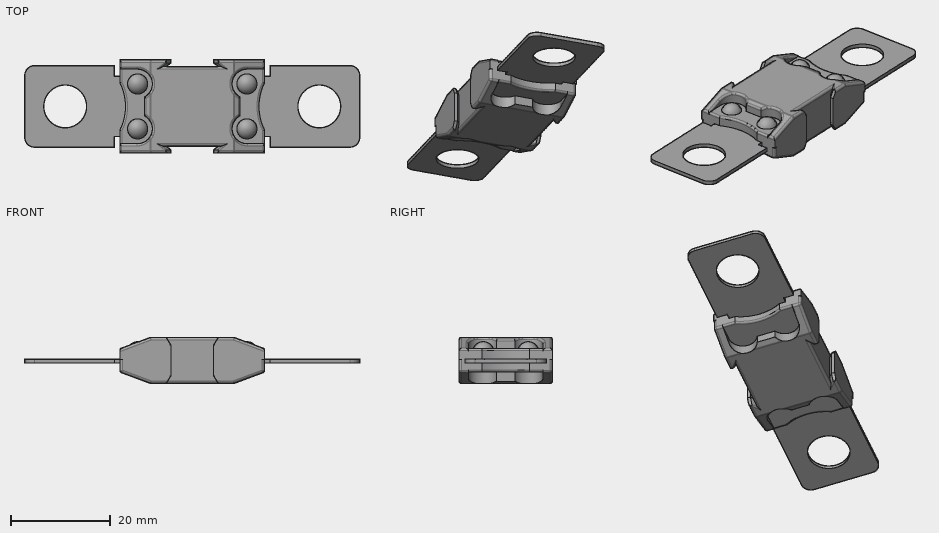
import cadquery as cq
import math

STRIP_LENGTH = 67.3
STRIP_WIDTH = 16.4
STRIP_BOTTOM = -0.55
STRIP_THICKNESS = 0.8
STRIP_CORNER_RADIUS = 2.0
HOLE_DIAMETER = 8.55
HOLE_X = 25.5
NECK_HALF_LENGTH = 15.6
NECK_WIDTH = 12.1

BODY_LENGTH = 29.1
BODY_WIDTH = 18.8
BODY_HEIGHT = 9.3
FLAT_HALF_LENGTH = 8.35
END_HALF_HEIGHT = 2.35
EDGE_ROUND = 0.55
PARTING_Z = 0.15

WAIST_WIDTH = 16.0
EAR_TIP_X = 4.3
EAR_TIP_THICKNESS = 0.7
EAR_ANGLE = 40.0
EAR_BEVEL = 0.95
EAR_BEVEL_HEIGHT = 1.55
EAR_ROUND = 0.35

POCKET_X = 11.0
POCKET_Y = 4.5
POCKET_RADIUS = 2.95
TONGUE_X = 9.55
RIM_ROUND = 0.5
RIVET_RADIUS = 2.0
RIVET_HEIGHT = 1.4

SCOOP_HALF_WIDTH = 4.8
SCOOP_DEPTH = 1.15
SCOOP_EDGE_ROUND = 0.4

HALF_LENGTH = BODY_LENGTH / 2
HALF_WIDTH = BODY_WIDTH / 2
HALF_HEIGHT = BODY_HEIGHT / 2
POCKET_EDGE_Y = POCKET_Y + POCKET_RADIUS
CLEARANCE = 3.35
TOLERANCE = 0.01


def both_ends(shape):
    """Join a shape with its mirror image across the YZ plane."""
    return shape.union(shape.mirror("YZ"))


def strip_plate(length, width):
    """Rectangular plate at the level and thickness of the strip."""
    plane = cq.Workplane("XY").workplane(offset=STRIP_BOTTOM)
    return plane.rect(length, width).extrude(STRIP_THICKNESS)


def make_strip():
    """Strip with rounded corners, a narrower neck inside the body and a bolt hole at each end."""
    strip = strip_plate(STRIP_LENGTH, STRIP_WIDTH).edges("|Z").fillet(STRIP_CORNER_RADIUS)
    neck_zone = strip_plate(2 * NECK_HALF_LENGTH, STRIP_WIDTH)
    side_notches = neck_zone.cut(strip_plate(STRIP_LENGTH, NECK_WIDTH))
    hole_plane = cq.Workplane("XY").workplane(offset=STRIP_BOTTOM)
    holes = hole_plane.pushPoints([(-HOLE_X, 0), (HOLE_X, 0)]).circle(HOLE_DIAMETER / 2)
    return strip.cut(side_notches).cut(holes.extrude(STRIP_THICKNESS))


def make_block():
    """Eight-sided block with its four creases rounded."""
    block = (
        cq.Workplane("XZ")
        .moveTo(-HALF_LENGTH, -END_HALF_HEIGHT)
        .lineTo(-FLAT_HALF_LENGTH, -HALF_HEIGHT)
        .lineTo(FLAT_HALF_LENGTH, -HALF_HEIGHT)
        .lineTo(HALF_LENGTH, -END_HALF_HEIGHT)
        .lineTo(HALF_LENGTH, END_HALF_HEIGHT)
        .lineTo(FLAT_HALF_LENGTH, HALF_HEIGHT)
        .lineTo(-FLAT_HALF_LENGTH, HALF_HEIGHT)
        .lineTo(-HALF_LENGTH, END_HALF_HEIGHT)
        .close()
        .extrude(HALF_WIDTH, both=True)
    )
    return block.edges("(>Z or <Z) and |Y").fillet(EDGE_ROUND)


def make_shell(block):
    """Block with rounded outer edges; above the parting plane the upright corners stay sharp."""
    outer_faces = block.faces("<X or >X or <Y or >Y")
    upper_space = cq.Workplane("XY").workplane(offset=PARTING_Z)
    upper_space = upper_space.rect(BODY_LENGTH, BODY_WIDTH).extrude(BODY_HEIGHT)
    upper = outer_faces.edges("not |Z").fillet(EDGE_ROUND).intersect(upper_space)
    lower = outer_faces.edges().fillet(EDGE_ROUND).cut(upper_space)
    return upper.union(lower)


def end_block(inner_x, width):
    """Full-height block from inner_x to the +X end face."""
    length = HALF_LENGTH - inner_x
    return cq.Workplane("XY").box(length, width, BODY_HEIGHT).translate((inner_x + length / 2, 0, 0))


def make_pocket_space():
    """Twin round pockets at both ends, joined and open to the end face, through the full height."""
    centres = [(POCKET_X, -POCKET_Y), (POCKET_X, POCKET_Y)]
    space = cq.Workplane("XY").pushPoints(centres).circle(POCKET_RADIUS).extrude(HALF_HEIGHT, both=True)
    space = space.union(end_block(POCKET_X, 2 * POCKET_EDGE_Y))
    space = space.union(end_block(TONGUE_X, 2 * POCKET_Y))
    return both_ends(space.clean())


def is_pocket_wall(face):
    """True for an upright face inside the pocket outline."""
    return abs(face.normalAt().z) < TOLERANCE and abs(face.Center().y) < POCKET_EDGE_Y + TOLERANCE


def round_upper_rims(body):
    """Round the top edges of the pocket walls; the bottom edges stay sharp."""
    walls = body.faces().filter(is_pocket_wall)
    rims = walls.edges("not |Z").filter(lambda edge: edge.Center().z > 0)
    return rims.fillet(RIM_ROUND)


def make_pocket_floor(pocket_space):
    """Slab that fills the pockets up to their floors, rounded along the scooped ends."""
    slab = cq.Workplane("XY").box(BODY_LENGTH, BODY_WIDTH, 2 * END_HALF_HEIGHT)
    radius = (SCOOP_HALF_WIDTH**2 + SCOOP_DEPTH**2) / (2 * SCOOP_DEPTH)
    scoop_x = HALF_LENGTH - SCOOP_DEPTH + radius
    scoops = cq.Workplane("XY").pushPoints([(-scoop_x, 0), (scoop_x, 0)]).circle(radius)
    slab = slab.cut(scoops.extrude(HALF_HEIGHT, both=True))
    slab = slab.faces("<Z or >Z").edges().fillet(SCOOP_EDGE_ROUND)
    return slab.intersect(pocket_space)


def make_ear_block():
    """Oversized block whose -X side has the shape of the +X, +Y ear, bevelled above and below."""
    inner_y = WAIST_WIDTH / 2 - CLEARANCE
    tip_y = HALF_WIDTH - EAR_TIP_THICKNESS
    inner_x = EAR_TIP_X + (tip_y - inner_y) / math.tan(math.radians(EAR_ANGLE))

    def outline(plane, bevel):
        return plane.polyline([
            (inner_x + bevel, inner_y),
            (EAR_TIP_X + bevel, tip_y),
            (EAR_TIP_X + bevel, HALF_WIDTH + CLEARANCE),
            (BODY_LENGTH, HALF_WIDTH + CLEARANCE),
            (BODY_LENGTH, inner_y),
        ]).close()

    straight_height = HALF_HEIGHT - EAR_BEVEL_HEIGHT
    block = outline(cq.Workplane("XY"), 0).extrude(straight_height, both=True)
    tapered = outline(cq.Workplane("XY").workplane(offset=straight_height), 0)
    tapered = outline(tapered.workplane(offset=EAR_BEVEL_HEIGHT), EAR_BEVEL).loft(ruled=True)
    block = block.union(tapered).union(tapered.mirror("XY"))
    return block.faces("<Z or >Z").edges().fillet(EAR_ROUND)


def make_ear_gap():
    """Space between the ears on the +Y side, bounded by the rounded edges of the waist."""
    space = cq.Workplane("XY").box(2 * FLAT_HALF_LENGTH, BODY_WIDTH, BODY_HEIGHT)
    waist = cq.Workplane("XY").box(BODY_LENGTH, WAIST_WIDTH, BODY_HEIGHT)
    waist = waist.edges("|X").fillet(EDGE_ROUND)
    positive_y_half = cq.Workplane("XY").box(BODY_LENGTH, BODY_WIDTH, BODY_HEIGHT)
    positive_y_half = positive_y_half.translate((0, HALF_WIDTH, 0))
    return space.intersect(positive_y_half).cut(waist).cut(both_ends(make_ear_block()))


def make_rivets():
    """Four domed rivet heads on the upper pocket floors, made as partly buried balls."""
    ball_radius = (RIVET_RADIUS**2 + RIVET_HEIGHT**2) / (2 * RIVET_HEIGHT)
    ball_z = END_HALF_HEIGHT + RIVET_HEIGHT - ball_radius
    centres = [(x, y) for x in (-POCKET_X, POCKET_X) for y in (-POCKET_Y, POCKET_Y)]
    return cq.Workplane("XY").workplane(offset=ball_z).pushPoints(centres).sphere(ball_radius)


block = make_block()
pocket_space = make_pocket_space()
ear_gap = make_ear_gap()
body = round_upper_rims(block.cut(pocket_space)).intersect(make_shell(block))
body = body.union(make_pocket_floor(pocket_space))
body = body.cut(ear_gap).cut(ear_gap.mirror("XZ"))
result = body.union(make_strip()).union(make_rivets())